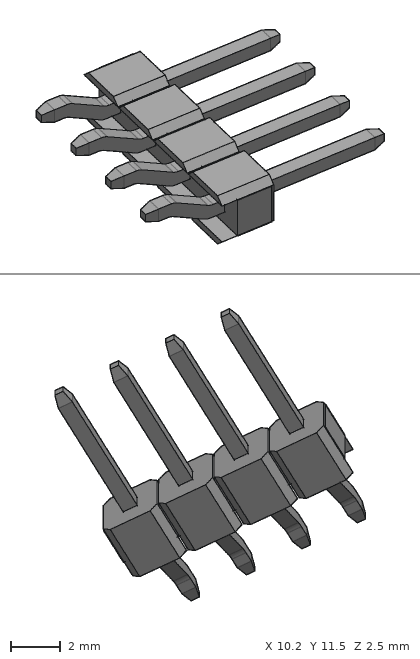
import cadquery as cq
import math


pin_count = 4
row_length = 10.15
pitch = row_length / pin_count
total_length = 11.5

cell_size = 2.5
cell_width = 2.47
cell_chamfer = 0.32
bar_setback = 0.1
bar_depth = 1.66
bar_front = -(bar_setback + bar_depth)
bar_height = cell_size - 2 * cell_chamfer

pin_size = 0.64
tip_size = 0.38
tip_length = 0.54
pin_back = 6.01
pin_front = pin_back - total_length
lower_bend_y = -2.53
upper_bend_y = -4.28
bend_radius = 0.55
foot_rise = (cell_size - pin_size) / 2

pin_positions = [(i - (pin_count - 1) / 2) * pitch for i in range(pin_count)]


def box_between(width, y_front, y_back, height):
    """Box centred on X = 0 and Z = 0 that spans y_front to y_back."""
    return cq.Workplane("XY").box(width, y_back - y_front, height).translate((0, (y_front + y_back) / 2, 0))


def make_cell():
    """Chamfered block with its front opened, leaving a flange above and below."""
    block = box_between(cell_width, -cell_size, 0, cell_size).edges("|Y").chamfer(cell_chamfer)
    front_opening = box_between(pitch, -cell_size, bar_front, bar_height)
    return block.cut(front_opening)


def make_housing(pins):
    """Bar joining one cell per pin, with a matching hole for each pin."""
    housing = box_between(row_length, bar_front, -bar_setback, bar_height)
    cell = make_cell()
    for x in pin_positions:
        housing = housing.union(cell.translate((x, 0, 0)))
    for pin in pins:
        housing = housing.cut(pin)
    return housing


def make_tip(base_y, z, direction):
    """Square taper from the pin section, pointing along +Y (1) or -Y (-1)."""
    base_plane = cq.Plane(origin=(0, base_y, z), xDir=(1, 0, 0), normal=(0, direction, 0))
    return (
        cq.Workplane(base_plane)
        .rect(pin_size, pin_size)
        .workplane(offset=tip_length)
        .rect(tip_size, tip_size)
        .loft(ruled=True)
    )


def make_pin():
    """Square pin with a rounded crank towards the foot and a taper at both ends."""
    half = pin_size / 2
    crank_angle = math.atan2(foot_rise, lower_bend_y - upper_bend_y)
    miter = half * math.tan(crank_angle / 2)
    shaft_end = pin_back - tip_length
    foot_end = pin_front + tip_length
    profile = [
        (shaft_end, half),
        (lower_bend_y + miter, half),
        (upper_bend_y + miter, foot_rise + half),
        (foot_end, foot_rise + half),
        (foot_end, foot_rise - half),
        (upper_bend_y - miter, foot_rise - half),
        (lower_bend_y - miter, -half),
        (shaft_end, -half),
    ]
    shank = cq.Workplane("YZ").polyline(profile).close().extrude(half, both=True)
    bend_zone = cq.selectors.BoxSelector(
        (-pin_size, upper_bend_y - pin_size / 2, -cell_size),
        (pin_size, lower_bend_y + pin_size / 2, cell_size),
    )
    shank = shank.edges("|X").edges(bend_zone).fillet(bend_radius)
    return shank.union(make_tip(shaft_end, 0, 1)).union(make_tip(foot_end, foot_rise, -1))


pin = make_pin()
pins = [pin.translate((x, 0, 0)) for x in pin_positions]
housing = make_housing(pins)

result = cq.Compound.makeCompound([housing.val(), *[p.val() for p in pins]])